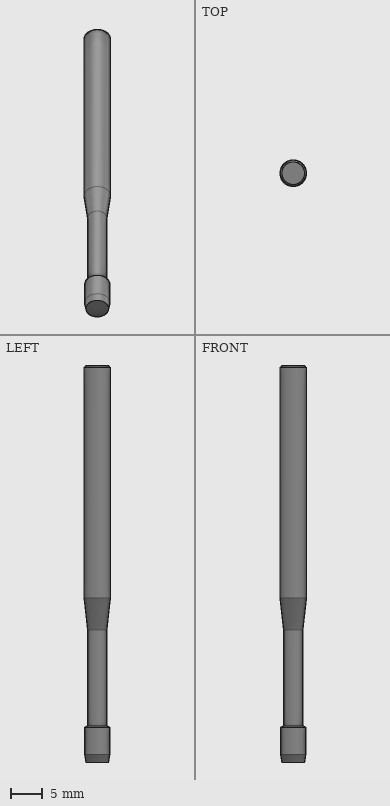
import cadquery as cq

total_length = 63.0

shank_radius = 4.2 / 2
shank_bottom = 26.15
shank_chamfer = 0.3
neck_radius = 3.1 / 2
neck_top = 21.05

head_radius = 4.05 / 2
head_length = 5.85
head_top_chamfer_height = 0.25
head_tip_radius = 3.6 / 2
head_tip_height = 1.3


def revolve_profile(points):
    """Turn a closed (radius, height) profile about the Z axis."""
    return cq.Workplane("XZ").polyline(points).close().revolve(360, (0, 0, 0), (0, 1, 0))


def make_holder():
    """Chamfered shank that tapers down to the neck and stands on the head."""
    return revolve_profile([
        (0, head_length),
        (neck_radius, head_length),
        (neck_radius, neck_top),
        (shank_radius, shank_bottom),
        (shank_radius, total_length - shank_chamfer),
        (shank_radius - shank_chamfer, total_length),
        (0, total_length),
    ])


def make_head():
    """Cylindrical head with a tapered tip, sloping in at the top to the width of the neck."""
    return revolve_profile([
        (0, 0),
        (head_tip_radius, 0),
        (head_radius, head_tip_height),
        (head_radius, head_length - head_top_chamfer_height),
        (neck_radius, head_length),
        (0, head_length),
    ])


holder = make_holder()
head = make_head()

result = cq.Compound.makeCompound([holder.val(), head.val()])